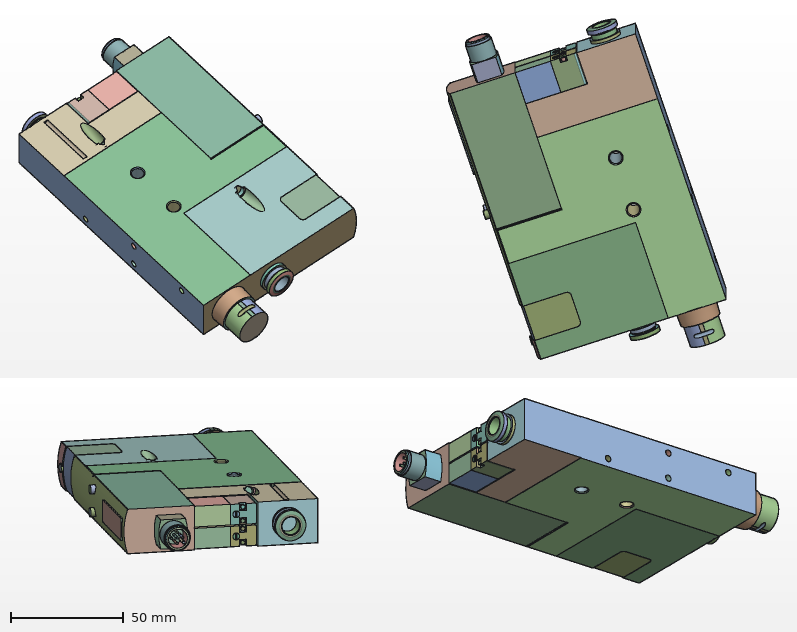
import cadquery as cq
import math


TOTAL_LENGTH = 163.1
TOTAL_DEPTH = 90.0

LENGTH = 127.7
FLAT_DEPTH = 86.8
BACK_BULGE = 1.6
BACK_CHAMFER_DEPTH = 0.5
BACK_CHAMFER_DROP = 0.2
HEIGHT = 20.5
TOP = HEIGHT / 2
BACK = FLAT_DEPTH + BACK_BULGE

PANEL_STEP = 0.08
COVER_LENGTH = 65.2
COVER_FRONT = 56.3
COVER_GAP = 0.7
COVER_GAP_DEPTH = 1.0
VALVE_PANEL_LENGTH = 31.2
RIGHT_PANEL_START = 81.7
RIGHT_PANEL_FRONT = 27.0

CLIP_START = 102.3
CLIP_WIDTH = 16.5
CLIP_FRONT = 64.6
CLIP_STEP = 0.2
CLIP_BACK_STEP = 0.5
CLIP_CORNER = 2.0

MOUNT_X = (50.9, 75.8)
MOUNT_Y = 26.1
MOUNT_DIAMETER = 5.5
MOUNT_MOUTH = 6.5

FRONT_HOLES = ((79.5, 6.2), (112.5, 6.2), (46.2, -6.2), (79.5, -6.2))
FRONT_HOLE_DIAMETER = 3.0
FRONT_HOLE_DEPTH = 4.9

BORE_DIAMETER = 5.5
BORE_END_DIAMETER = 4.0
BORE_RUN_IN = 19.5
LEFT_BORE_X = 21.7
LEFT_BORE_Y = 25.1
LEFT_BORE_TILT = 18
LEFT_BORE_DEPTH = 4.7
LEFT_BORE_END_LENGTH = 3.3
RIGHT_BORE_X = 93.1
RIGHT_BORE_Y = 55.0
RIGHT_BORE_TILT = 15
RIGHT_BORE_DEPTH = 5.9
RIGHT_BORE_END_LENGTH = 2.3

VALVE_LENGTH = 15.0
VALVE_FRONT = 27.4
VALVE_BACK = COVER_FRONT
VALVE_DROP = 0.5
VALVE_CORNER = 0.8
VALVE_GAP = 0.7
VALVE_END_GAP = 0.5
VALVE_SPLIT_Y = 39.8
TERMINAL_Y = 34.1
TERMINAL_Z = (1.8, 8.2)
TERMINAL_SIZE = 3.1
TERMINAL_DEPTH = 2.1
TERMINAL_PIN = 2.0
TERMINAL_PIN_INSET = 0.5
OVERRIDE_Y = 37.2
OVERRIDE_Z = 5.0
OVERRIDE_DIAMETER = 3.1
OVERRIDE_DEPTH = 0.2
OVERRIDE_SLOT_WIDTH = 0.7
OVERRIDE_SLOT_LENGTH = 2.1
OVERRIDE_SLOT_DEPTH = 0.7

GROOVE_START = 2.0
GROOVE_END = 29.2
GROOVE_DIAMETER = 2.1

DISPLAY_START = 4.2
DISPLAY_END = 39.5
DISPLAY_HEIGHT = 10.1
DISPLAY_RISE = 0.3
BUTTON_X = 58.5
BUTTON_Z = 5.2
BUTTON_DIAMETER = 4.0
INDICATOR_X = 120.5
INDICATOR_DIAMETER = 4.0
INDICATOR_RISE = 0.5

PLUG_Y = 68.0
PLUG_REACH = 18
PLUG_BLOCK_LENGTH = 8.6
PLUG_BLOCK_WIDTH = 11.3
PLUG_BLOCK_HEIGHT = 13.4
PLUG_BLOCK_BULGE = 1.0
PLUG_DIAMETER = 12.0
PLUG_TIP_DIAMETER = 11.3
PLUG_TIP_LENGTH = 1.6
PLUG_TIP_CHAMFER = 0.5
PLUG_BORE = 8.6
PLUG_BORE_DEPTH = 8.2
PIN_DIAMETER = 1.0
PIN_LENGTH = 6.5
PIN_CIRCLE_RADIUS = 2.6
KEY_DIAMETER = 1.3
KEY_RADIUS = 3.8
KEY_ANGLE = 217

FITTING_REACH = 6.7
FITTING_DIAMETER = 13.9
FITTING_NECK = 11.7
FITTING_GROOVE = 10.8
FITTING_BORE = 8.0
FITTING_MOUTH = 8.6
FITTING_BASE_END = 1.5
FITTING_NECK_END = 3.6
FITTING_HEAD_START = 4.2
FITTING_RIM = 10.1
FITTING_RIM_RISE = 0.5
LEFT_FITTING_Y = 13.9
RIGHT_FITTING_Y = 39.8

SILENCER_Y = 14.5
SILENCER_REACH = TOTAL_LENGTH - PLUG_REACH - LENGTH
SILENCER_BASE_LENGTH = 7.3
SILENCER_BASE_DIAMETER = 19.1
SILENCER_BASE_END_DIAMETER = 18.3
SILENCER_DIAMETER = 16.3
SILENCER_SLOT_WIDTH = 2.0
SILENCER_SLOT_DEPTH = 0.2
SILENCER_NOTCH_X = 12.4
SILENCER_NOTCH_RADIUS = 1.0
SILENCER_NOTCH_Z = 7.7


def block(x0, x1, y0, y1, z0, z1):
    """Box between two opposite corners."""
    return cq.Workplane("XY").box(x1 - x0, y1 - y0, z1 - z0, centered=False).translate((x0, y0, z0))


def rod_x(diameter, x0, x1, y, z=0):
    """Cylinder along X."""
    return cq.Workplane("YZ", origin=(x0, y, z)).circle(diameter / 2).extrude(x1 - x0)


def rod_y(diameter, x, y0, y1, z):
    """Cylinder along Y."""
    return cq.Workplane("XZ", origin=(x, y0, z)).circle(diameter / 2).extrude(y0 - y1)


def back_profile(x0, x1, inset=0):
    """Housing cross-section with a bulging back, extruded between two X positions."""
    flat_depth = FLAT_DEPTH - inset
    chamfer_start = flat_depth - BACK_CHAMFER_DEPTH
    corner_z = TOP - BACK_CHAMFER_DROP
    return (
        cq.Workplane("YZ", origin=(x0, 0, 0))
        .moveTo(0, -TOP)
        .lineTo(chamfer_start, -TOP)
        .lineTo(flat_depth, -corner_z)
        .threePointArc((BACK - inset, 0), (flat_depth, corner_z))
        .lineTo(chamfer_start, TOP)
        .lineTo(0, TOP)
        .close()
        .extrude(x1 - x0)
    )


def cut_both_faces(body, x0, x1, y0, y1, depth):
    """Lower a rectangle of the top face and of the bottom face."""
    body = body.cut(block(x0, x1, y0, y1, TOP - depth, TOP))
    return body.cut(block(x0, x1, y0, y1, -TOP, -TOP + depth))


def cut_panels(body):
    body = cut_both_faces(body, 0, COVER_LENGTH, COVER_FRONT, BACK, PANEL_STEP)
    gap_end = COVER_LENGTH + COVER_GAP
    body = cut_both_faces(body, COVER_LENGTH, gap_end, COVER_FRONT, BACK, COVER_GAP_DEPTH)
    body = cut_both_faces(body, 0, VALVE_PANEL_LENGTH, 0, COVER_FRONT, 2 * PANEL_STEP)
    return cut_both_faces(body, RIGHT_PANEL_START, LENGTH, RIGHT_PANEL_FRONT, BACK, PANEL_STEP)


def cut_clip_recess(body):
    clip_end = CLIP_START + CLIP_WIDTH
    depth = PANEL_STEP + CLIP_STEP
    pocket = block(CLIP_START, clip_end, CLIP_FRONT, BACK, TOP - depth, TOP)
    pocket = pocket.edges("|Z and <Y").fillet(CLIP_CORNER)
    band = back_profile(CLIP_START, clip_end).cut(back_profile(CLIP_START, clip_end, CLIP_BACK_STEP))
    return body.cut(pocket).cut(pocket.mirror("XY")).cut(band)


def cut_mounting_holes(body):
    chamfer = (MOUNT_MOUTH - MOUNT_DIAMETER) / 2
    for x in MOUNT_X:
        hole = cq.Workplane("XY", origin=(x, MOUNT_Y, -TOP)).circle(MOUNT_DIAMETER / 2).extrude(HEIGHT)
        mouth = cq.Workplane("XY", origin=(x, MOUNT_Y, TOP)).circle(MOUNT_MOUTH / 2)
        mouth = mouth.extrude(-chamfer, taper=45)
        body = body.cut(hole).cut(mouth).cut(mouth.mirror("XY"))
    return body


def cut_front_holes(body):
    for x, z in FRONT_HOLES:
        body = body.cut(rod_y(FRONT_HOLE_DIAMETER, x, 0, FRONT_HOLE_DEPTH, z))
    return body


def slanted_bore(x, y, direction, tilt, depth, end_length):
    """Stepped bore that sinks below the top face toward `direction` (+1 or -1) along X."""
    angle = math.radians(tilt)
    axis = cq.Vector(direction * math.cos(angle), 0, -math.sin(angle))
    mouth = cq.Vector(x, y, TOP)
    start = mouth - axis * BORE_RUN_IN
    bore = cq.Solid.makeCylinder(BORE_DIAMETER / 2, BORE_RUN_IN + depth, start, axis)
    end = cq.Solid.makeCylinder(BORE_END_DIAMETER / 2, end_length, mouth + axis * depth, axis)
    return cq.Workplane(bore.fuse(end))


def cut_slanted_bores(body):
    left = slanted_bore(
        LEFT_BORE_X, LEFT_BORE_Y, 1, LEFT_BORE_TILT, LEFT_BORE_DEPTH, LEFT_BORE_END_LENGTH
    )
    right = slanted_bore(
        RIGHT_BORE_X, RIGHT_BORE_Y, -1, RIGHT_BORE_TILT, RIGHT_BORE_DEPTH, RIGHT_BORE_END_LENGTH
    )
    return body.cut(left).cut(right)


def cut_groove(body):
    return body.cut(rod_x(GROOVE_DIAMETER, GROOVE_START, GROOVE_END, LEFT_FITTING_Y, TOP))


def upper_valve():
    """Pilot valve above the mid-plane, in two lengths that differ by a hairline step."""
    top = TOP - VALVE_DROP
    bottom = VALVE_GAP / 2
    front = VALVE_FRONT + VALVE_END_GAP
    coil = block(PANEL_STEP, VALVE_LENGTH, VALVE_SPLIT_Y, VALVE_BACK, bottom, top)
    head = block(0, VALVE_LENGTH, front, VALVE_SPLIT_Y, bottom, top - PANEL_STEP)
    valve = coil.union(head.edges("|X and <Y").fillet(VALVE_CORNER))

    half = TERMINAL_SIZE / 2
    for z in TERMINAL_Z:
        socket = block(0, TERMINAL_DEPTH, TERMINAL_Y - half, TERMINAL_Y + half, z - half, z + half)
        pin = rod_x(TERMINAL_PIN, TERMINAL_PIN_INSET, TERMINAL_DEPTH, TERMINAL_Y, z)
        valve = valve.cut(socket).union(pin)

    valve = valve.cut(rod_x(OVERRIDE_DIAMETER, 0, OVERRIDE_DEPTH, OVERRIDE_Y, OVERRIDE_Z))
    slot = block(
        OVERRIDE_DEPTH,
        OVERRIDE_DEPTH + OVERRIDE_SLOT_DEPTH,
        OVERRIDE_Y - OVERRIDE_SLOT_WIDTH / 2,
        OVERRIDE_Y + OVERRIDE_SLOT_WIDTH / 2,
        OVERRIDE_Z - OVERRIDE_SLOT_LENGTH / 2,
        OVERRIDE_Z + OVERRIDE_SLOT_LENGTH / 2,
    )
    return valve.cut(slot)


def add_valves(body):
    valve = upper_valve()
    bay = block(0, VALVE_LENGTH, VALVE_FRONT, VALVE_BACK, -TOP, TOP)
    return body.cut(bay).union(valve).union(valve.mirror("XY"))


def add_back_controls(body):
    half_height = DISPLAY_HEIGHT / 2
    display_face = BACK + DISPLAY_RISE
    display = block(DISPLAY_START, DISPLAY_END, FLAT_DEPTH, display_face, -half_height, half_height)
    body = body.union(display)
    for z in (BUTTON_Z, -BUTTON_Z):
        body = body.union(rod_y(BUTTON_DIAMETER, BUTTON_X, FLAT_DEPTH, TOTAL_DEPTH, z))
    return body.union(rod_y(INDICATOR_DIAMETER, INDICATOR_X, FLAT_DEPTH, BACK + INDICATOR_RISE, 0))


def make_plug():
    """Five-pin plug with its keyed bore and bulging root block."""
    half_width = PLUG_BLOCK_WIDTH / 2
    half_height = PLUG_BLOCK_HEIGHT / 2
    tip_start = PLUG_TIP_LENGTH - PLUG_REACH
    bore_end = PLUG_BORE_DEPTH - PLUG_REACH
    side = half_width + PLUG_BLOCK_BULGE
    plug = (
        cq.Workplane("YZ", origin=(0, PLUG_Y, 0))
        .moveTo(-half_width, -half_height)
        .lineTo(half_width, -half_height)
        .threePointArc((side, 0), (half_width, half_height))
        .lineTo(-half_width, half_height)
        .threePointArc((-side, 0), (-half_width, -half_height))
        .close()
        .extrude(-PLUG_BLOCK_LENGTH)
    )
    plug = plug.union(rod_x(PLUG_DIAMETER, tip_start, 0, PLUG_Y))
    tip = rod_x(PLUG_TIP_DIAMETER, -PLUG_REACH, 0, PLUG_Y).faces("<X").chamfer(PLUG_TIP_CHAMFER)
    plug = plug.union(tip)
    plug = plug.cut(rod_x(PLUG_BORE, -PLUG_REACH, bore_end, PLUG_Y))
    r = PIN_CIRCLE_RADIUS
    for y, z in ((0, 0), (r, 0), (-r, 0), (0, r), (0, -r)):
        plug = plug.union(rod_x(PIN_DIAMETER, bore_end - PIN_LENGTH, bore_end, PLUG_Y + y, z))
    angle = math.radians(KEY_ANGLE)
    key_y = PLUG_Y + KEY_RADIUS * math.cos(angle)
    key_z = KEY_RADIUS * math.sin(angle)
    return plug.union(rod_x(KEY_DIAMETER, bore_end - PIN_LENGTH, bore_end, key_y, key_z))


def make_housing():
    body = cut_panels(back_profile(0, LENGTH))
    body = cut_clip_recess(body)
    body = add_valves(body)
    body = cut_mounting_holes(body)
    body = cut_front_holes(body)
    body = cut_groove(body)
    body = cut_slanted_bores(body)
    body = add_back_controls(body)
    return body.union(make_plug())


def make_fitting():
    """Push-in fitting that stands on the plane X = 0 and points along +X."""
    flange = FITTING_DIAMETER / 2
    neck = FITTING_NECK / 2
    groove = FITTING_GROOVE / 2
    bore = FITTING_BORE / 2
    mouth = FITTING_MOUTH / 2
    return (
        cq.Workplane("XY")
        .moveTo(0, bore)
        .lineTo(0, flange)
        .lineTo(FITTING_BASE_END, flange)
        .lineTo(FITTING_BASE_END, neck)
        .lineTo(FITTING_NECK_END, neck)
        .lineTo(FITTING_NECK_END, groove)
        .lineTo(FITTING_HEAD_START, groove)
        .lineTo(FITTING_HEAD_START, flange)
        .lineTo(FITTING_REACH - FITTING_RIM_RISE, flange)
        .lineTo(FITTING_REACH, FITTING_RIM / 2)
        .lineTo(FITTING_REACH, mouth)
        .lineTo(FITTING_REACH - (mouth - bore), bore)
        .close()
        .revolve(360, (0, 0, 0), (1, 0, 0))
    )


def make_silencer():
    """Silencer with a tapered base, and a lengthwise slot and a crosswise notch above and below."""
    radius = SILENCER_DIAMETER / 2
    body = (
        cq.Workplane("XY")
        .lineTo(0, SILENCER_BASE_DIAMETER / 2)
        .lineTo(SILENCER_BASE_LENGTH, SILENCER_BASE_END_DIAMETER / 2)
        .lineTo(SILENCER_BASE_LENGTH, radius)
        .lineTo(SILENCER_REACH, radius)
        .lineTo(SILENCER_REACH, 0)
        .close()
        .revolve(360, (0, 0, 0), (1, 0, 0))
    )
    half_slot = SILENCER_SLOT_WIDTH / 2
    slot_floor = radius - SILENCER_SLOT_DEPTH
    slot = block(SILENCER_BASE_LENGTH, SILENCER_REACH, -half_slot, half_slot, slot_floor, radius)
    notch = rod_y(2 * SILENCER_NOTCH_RADIUS, SILENCER_NOTCH_X, -radius, radius, SILENCER_NOTCH_Z)
    for cutter in (slot, notch):
        body = body.cut(cutter).cut(cutter.mirror("XY"))
    return body.translate((LENGTH, SILENCER_Y, 0))


housing = make_housing()
fittings = [
    make_fitting().mirror("YZ").translate((0, LEFT_FITTING_Y, 0)),
    make_fitting().translate((LENGTH, RIGHT_FITTING_Y, 0)),
]
silencer = make_silencer()

result = cq.Compound.makeCompound(
    [housing.val(), *[fitting.val() for fitting in fittings], silencer.val()]
)